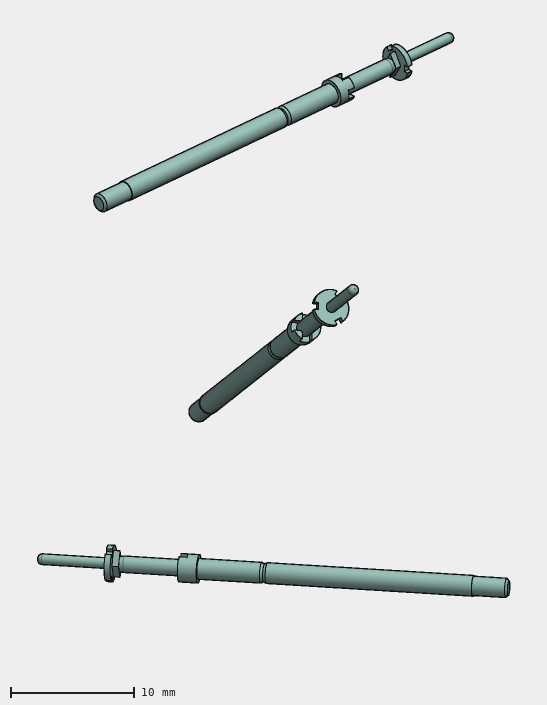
import cadquery as cq
import math

length = 38.8

tail_end = 2.9
groove_start = 19.9
groove_end = 20.37
collar_start = 25.53
collar_end = 27.1
shaft_end = 31.65
neck_end = 32.0
disc_start = 32.55
disc_end = 33.05

tail_diameter = 1.6
body_diameter = 1.7
groove_diameter = 1.47
collar_diameter = 2.33
shaft_diameter = 1.35
neck_diameter = 1.28
disc_diameter = 3.0
rod_diameter = 0.9

tail_chamfer = 0.2
tip_fillet = 0.4

collar_slot_width = 0.8
collar_slot_length = 0.65
collar_slot_angles = (0, 90, 180)

notch_count = 3
notch_width = 0.6
notch_floor_diameter = 2.2

diamond_height = 2.3
diamond_half_angle = 30
diamond_width = diamond_height * math.tan(math.radians(diamond_half_angle))


def cylinder(diameter, start, end):
    """Solid cylinder on the pin axis between two Y positions."""
    return cq.Workplane("XZ", origin=(0, start, 0)).circle(diameter / 2).extrude(start - end)


def cone(start_diameter, end_diameter, start, end):
    """Solid truncated cone on the pin axis between two Y positions."""
    outline = [(0, start), (start_diameter / 2, start), (end_diameter / 2, end), (0, end)]
    return cq.Workplane("XY").polyline(outline).close().revolve(360, (0, 0, 0), (0, 1, 0))


def make_body():
    """Tail, grooved barrel and shaft up to the end of the neck."""
    groove_middle = (groove_start + groove_end) / 2
    return (
        cylinder(tail_diameter, 0, tail_end)
        .faces("<Y").chamfer(tail_chamfer)
        .union(cylinder(body_diameter, tail_end, groove_start))
        .union(cone(body_diameter, groove_diameter, groove_start, groove_middle))
        .union(cone(groove_diameter, body_diameter, groove_middle, groove_end))
        .union(cylinder(body_diameter, groove_end, collar_start))
        .union(cylinder(shaft_diameter, collar_start, shaft_end))
        .union(cone(shaft_diameter, neck_diameter, shaft_end, neck_end))
    )


def make_collar():
    """Collar with open slots in its tip-side face, reaching down to the shaft."""
    collar = cylinder(collar_diameter, collar_start, collar_end)
    slot = cq.Workplane("XY").box(
        collar_slot_width, collar_slot_length, collar_diameter, centered=(True, False, False)
    ).translate((0, collar_end - collar_slot_length, 0))
    for angle in collar_slot_angles:
        collar = collar.cut(slot.rotate((0, 0, 0), (0, 1, 0), angle))
    return collar


def make_disc():
    """Disc with evenly spaced notches in its rim, the first one on +X."""
    disc = cylinder(disc_diameter, disc_start, disc_end)
    notch = cq.Workplane("XY").box(
        disc_diameter, disc_end - disc_start, notch_width, centered=(False, False, True)
    ).translate((notch_floor_diameter / 2, disc_start, 0))
    for i in range(notch_count):
        disc = disc.cut(notch.rotate((0, 0, 0), (0, 1, 0), i * 360 / notch_count))
    return disc


def make_spacer():
    """Diamond prism joining the neck to the disc."""
    corners = [
        (diamond_width / 2, 0),
        (0, diamond_height / 2),
        (-diamond_width / 2, 0),
        (0, -diamond_height / 2),
    ]
    plane = cq.Workplane("XZ", origin=(0, neck_end, 0))
    return plane.polyline(corners).close().extrude(neck_end - disc_start)


def make_rod():
    """Thin contact rod with a rounded tip."""
    return cylinder(rod_diameter, disc_end, length).faces(">Y").fillet(tip_fillet)


result = (
    make_body()
    .union(make_collar())
    .union(make_spacer())
    .union(make_disc())
    .union(make_rod())
)